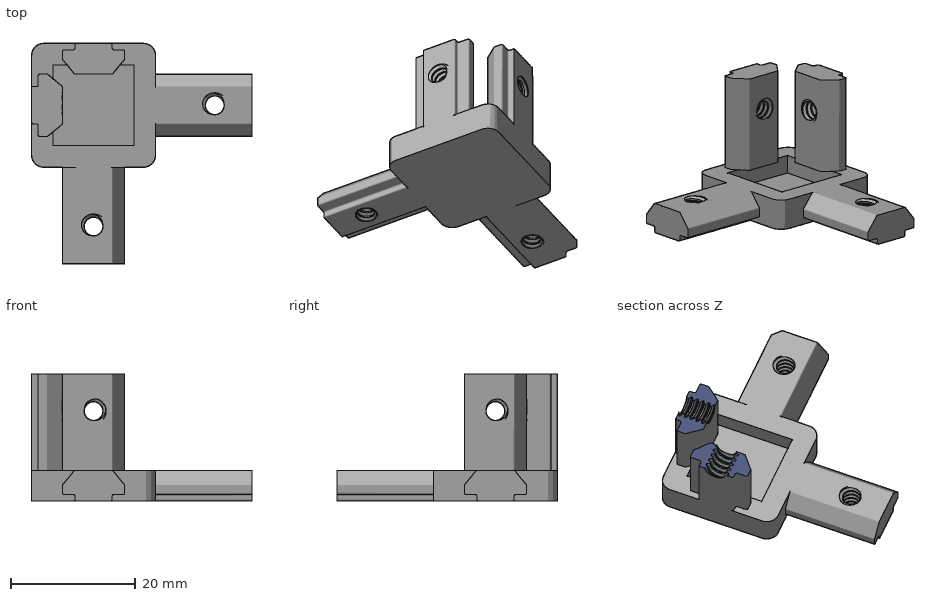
import cadquery as cq

base_side = 20.0
base_height = 4.97
base_corner_radius = 2.0
pocket_side = 13.0
floor_thickness = 2.0

overall_length = 35.5
rail_length = overall_length - base_side
rail_depth = base_height
neck_width = 6.0
neck_depth = 1.05
shoulder_width = 10.0
slope_start_depth = 2.6
inner_face_width = 6.1
rail_edge_radius = 0.3

hole_end_distance = 6.0
bore_radius = 1.5
thread_radius = 2.02
thread_pitch = 1.0
groove_mouth_width = 0.7
groove_root_width = 0.15
groove_overlap = 0.1

UP = (0, 0, 1)
LEFT = (-1, 0, 0)
RIGHT = (1, 0, 0)
FRONT = (0, -1, 0)
BACK = (0, 1, 0)


def base_block():
    block = cq.Workplane("XY").rect(base_side, base_side).extrude(base_height)
    block = block.edges("|Z").fillet(base_corner_radius)
    pocket = (
        cq.Workplane("XY", origin=(0, 0, floor_thickness))
        .rect(pocket_side, pocket_side)
        .extrude(base_height - floor_thickness)
    )
    return block.cut(pocket)


def rail_blank(sharp_neck_edge):
    """Rail along +Z, with its outer face on Y = 0 and its depth along +Y.

    Its long edges are rounded, except the -X edge of the outer face if sharp_neck_edge is set.
    """
    half_outline = [
        (neck_width / 2, 0),
        (neck_width / 2, neck_depth),
        (shoulder_width / 2, neck_depth),
        (shoulder_width / 2, slope_start_depth),
        (inner_face_width / 2, rail_depth),
    ]
    mirrored_half = [(-x, y) for x, y in reversed(half_outline)]
    blank = cq.Workplane("XY").polyline(half_outline + mirrored_half).close().extrude(rail_length)
    edges = blank.edges("|Z")
    if sharp_neck_edge:
        edges = edges.filter(lambda edge: edge.Center().x > 0 or edge.Center().y > neck_depth / 2)
    return edges.fillet(rail_edge_radius)


def thread_groove(length):
    """Helical V groove around +Z, starting on the +X side."""
    flank_slope = (groove_mouth_width - groove_root_width) / 2 / (thread_radius - bore_radius)
    inner_radius = bore_radius - groove_overlap
    half_inner = groove_mouth_width / 2 + flank_slope * groove_overlap
    half_root = groove_root_width / 2
    path = cq.Workplane(cq.Wire.makeHelix(thread_pitch, length, bore_radius))
    return (
        cq.Workplane("XZ")
        .polyline([
            (inner_radius, -half_inner),
            (thread_radius, -half_root),
            (thread_radius, half_root),
            (inner_radius, half_inner),
        ])
        .close()
        .sweep(path, isFrenet=True)
    )


def cut_threaded_hole(rail, thread_angle):
    """Cut the hole through the rail's depth; thread_angle turns the thread about the hole axis."""
    hole_plane = cq.Plane(
        origin=(0, -thread_pitch, rail_length - hole_end_distance), xDir=(1, 0, 0), normal=(0, 1, 0)
    ).rotated((0, 0, thread_angle))
    cutter_length = rail_depth + 2 * thread_pitch
    groove = thread_groove(cutter_length).val().moved(cq.Location(hole_plane))
    bore = cq.Workplane(hole_plane).circle(bore_radius).extrude(cutter_length)
    return rail.cut(cq.Workplane(groove)).cut(bore)


def placed_rail(origin, along, across, thread_angle, sharp_neck_edge):
    frame = cq.Plane(origin=origin, xDir=across, normal=along)
    rail = cut_threaded_hole(rail_blank(sharp_neck_edge), thread_angle)
    return cq.Workplane(rail.val().moved(cq.Location(frame)))


half_base = base_side / 2
result = base_block()
for origin, along, across, thread_angle, sharp_neck_edge in [
    ((half_base, 0, 0), RIGHT, BACK, 45, False),
    ((0, -half_base, 0), FRONT, RIGHT, 135, False),
    ((-half_base, 0, base_height), UP, FRONT, 225, True),
    ((0, half_base, base_height), UP, LEFT, 225, False),
]:
    result = result.union(placed_rail(origin, along, across, thread_angle, sharp_neck_edge))